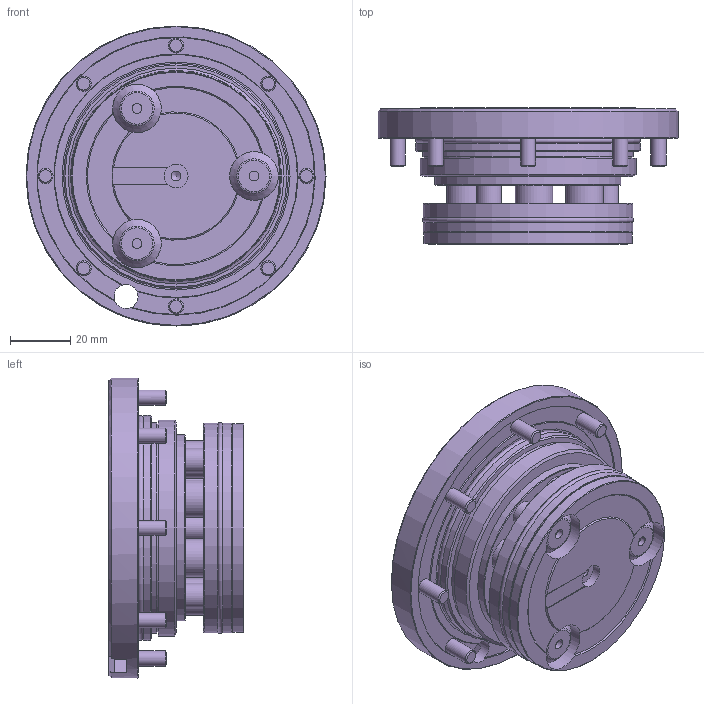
import cadquery as cq
import math


FLANGE_RADIUS = 50.0
FLANGE_BACK = 0.3
FLANGE_FRONT = 10.1
FLANGE_BACK_CHAMFER = 0.8
EDGE_BREAK = 0.2
BACK_PAD_RADIUS = 37.8
BAND_INNER_RADIUS = 40.5
BAND_OUTER_RADIUS = 46.4
BAND_DEPTH = 0.3
BAND_WALL_SLOPE = 0.2

COLLAR_RADIUS = 37.5
COLLAR_BACK = 11.8
COLLAR_FRONT = 14.6
COLLAR_CHAMFER = 0.5
COLLAR_RING_TUBE = 1.0
COLLAR_GROOVE_RADIUS = 36.0
COLLAR_GROOVE_OUTER_RADIUS = 38.0
COLLAR_GROOVE_FLOOR = 9.7
NECK_RADIUS = 35.1
NECK_FRONT = 16.3
RELIEF_RADIUS = 69.05 / 2
SHOULDER_RADIUS = 36.0
SHOULDER_BACK = 16.7
SHOULDER_FRONT = 22.8
SHOULDER_CHAMFER_LENGTH = 0.5
SHOULDER_CHAMFER_HEIGHT = 1.0
STEP_RADIUS = 31.0
STEP_FRONT = 25.7

DISC_RADIUS = 69.8 / 2
NOSE_RADIUS = 34.8
DISC_BACK = 31.8
DISC_FRONT = 45.3
RING_GROOVE_BACK = 36.5
RING_GROOVE_FRONT = 38.3
RING_GROOVE_RADIUS = 34.0
RING_TUBE = 0.8
RING_RADIUS = 35.2
SCORE_BACK = 41.2
SCORE_WIDTH = 0.4

RECESS_OUTER_RADIUS = 29.9
RECESS_INNER_RADIUS = 21.0
RECESS_DEPTH = 0.4
SLOT_WIDTH = 5.8
SLOT_DEPTH = 0.2

CENTRE_BORE_DIAMETER = 8.0
CENTRE_BORE_DEPTH = 3.0
PILOT_DIAMETER = 3.3
PILOT_DEPTH = 3.0
DRILL_POINT_ANGLE = 118.0

SCREW_COUNT = 3
SCREW_CIRCLE_RADIUS = 26.0
SCREW_BORE_DIAMETER = 16.2
SCREW_HEAD_DIAMETER = 11.5
SCREW_HEAD_DEPTH = 2.2
SCREW_HEAD_CHAMFER_LENGTH = 0.2
SCREW_HEAD_CHAMFER_WIDTH = 0.5
SOCKET_DEPTH = 2.0
SCREW_PILLAR_DIAMETER = 8.3

PILLAR_DIAMETER = 12.5
PILLAR_CIRCLE_RADIUS = 23.0
PILLAR_SPREAD = 25.0

PIN_COUNT = 8
PIN_CIRCLE_RADIUS = 43.5
PIN_DIAMETER = 5.0
PIN_END = 19.5
PIN_CHAMFER = 0.4

PORT_ANGLE = 270 - 180 / PIN_COUNT
PORT_DIAMETER = 8.0
RIM_SLOT_WIDTH = 11.4
RIM_SLOT_FRONT = 6.2
RIM_SLOT_FLARE_START = 2.1
RIM_SLOT_FLARE = 1.2

OVERLAP = 0.5


def revolve(profile):
    """Turn a (radius, depth) outline about the Y axis."""
    points = [(radius, -depth) for radius, depth in profile]
    return cq.Workplane("XY").polyline(points).close().revolve(360, (0, 0, 0), (0, 1, 0))


def disc(diameter, back, front, centre=(0.0, 0.0), chamfer=0.0):
    """Cylinder along Y between two depths, optionally chamfered at its front."""
    x, z = centre
    body = (
        cq.Workplane("XZ", origin=(x, -back, z))
        .circle(diameter / 2)
        .extrude(front - back)
    )
    if chamfer:
        body = body.faces("<Y").chamfer(chamfer)
    return body


def polar(radius, angle):
    """X and Z of a point at an angle measured from +X towards +Z."""
    turn = math.radians(angle)
    return (radius * math.cos(turn), radius * math.sin(turn))


def seal_ring(outer_radius, tube_radius, depth):
    """Round-section ring about the Y axis, with its seam on the inner side."""
    centre_radius = outer_radius - tube_radius
    section_plane = cq.Plane(origin=(centre_radius, -depth, 0), xDir=(-1, 0, 0), normal=(0, 0, 1))
    section = cq.Workplane(section_plane).circle(tube_radius)
    return section.revolve(360, (centre_radius, 0, 0), (centre_radius, 1, 0))


def make_flange_and_spigot():
    body = revolve([
        (0, 0),
        (BACK_PAD_RADIUS, 0),
        (BACK_PAD_RADIUS, FLANGE_BACK),
        (FLANGE_RADIUS - FLANGE_BACK_CHAMFER, FLANGE_BACK),
        (FLANGE_RADIUS, FLANGE_BACK + FLANGE_BACK_CHAMFER),
        (FLANGE_RADIUS, FLANGE_FRONT - EDGE_BREAK),
        (FLANGE_RADIUS - EDGE_BREAK, FLANGE_FRONT),
        (BAND_OUTER_RADIUS, FLANGE_FRONT),
        (BAND_OUTER_RADIUS - BAND_WALL_SLOPE, FLANGE_FRONT - BAND_DEPTH),
        (BAND_INNER_RADIUS + BAND_WALL_SLOPE, FLANGE_FRONT - BAND_DEPTH),
        (BAND_INNER_RADIUS, FLANGE_FRONT),
        (COLLAR_GROOVE_OUTER_RADIUS, FLANGE_FRONT),
        (COLLAR_GROOVE_OUTER_RADIUS, COLLAR_GROOVE_FLOOR),
        (COLLAR_GROOVE_RADIUS, COLLAR_GROOVE_FLOOR),
        (COLLAR_GROOVE_RADIUS, COLLAR_BACK),
        (COLLAR_RADIUS, COLLAR_BACK),
        (COLLAR_RADIUS, COLLAR_FRONT - COLLAR_CHAMFER),
        (COLLAR_RADIUS - COLLAR_CHAMFER, COLLAR_FRONT),
        (NECK_RADIUS, COLLAR_FRONT),
        (NECK_RADIUS, NECK_FRONT),
        (RELIEF_RADIUS, NECK_FRONT),
        (RELIEF_RADIUS, SHOULDER_BACK),
        (SHOULDER_RADIUS, SHOULDER_BACK),
        (SHOULDER_RADIUS, SHOULDER_FRONT - SHOULDER_CHAMFER_LENGTH),
        (SHOULDER_RADIUS - SHOULDER_CHAMFER_HEIGHT, SHOULDER_FRONT),
        (STEP_RADIUS, SHOULDER_FRONT),
        (STEP_RADIUS, STEP_FRONT - EDGE_BREAK),
        (STEP_RADIUS - EDGE_BREAK, STEP_FRONT),
        (0, STEP_FRONT),
    ])
    ring_depth = (COLLAR_GROOVE_FLOOR + COLLAR_BACK) / 2
    return body.union(seal_ring(COLLAR_RADIUS, COLLAR_RING_TUBE, ring_depth))


def make_front_disc():
    body = revolve([
        (0, DISC_BACK),
        (DISC_RADIUS - EDGE_BREAK, DISC_BACK),
        (DISC_RADIUS, DISC_BACK + EDGE_BREAK),
        (DISC_RADIUS, RING_GROOVE_BACK),
        (RING_GROOVE_RADIUS, RING_GROOVE_BACK),
        (RING_GROOVE_RADIUS, RING_GROOVE_FRONT),
        (DISC_RADIUS, RING_GROOVE_FRONT),
        (DISC_RADIUS, SCORE_BACK),
        (RELIEF_RADIUS, SCORE_BACK),
        (RELIEF_RADIUS, SCORE_BACK + SCORE_WIDTH),
        (NOSE_RADIUS, SCORE_BACK + SCORE_WIDTH),
        (NOSE_RADIUS, DISC_FRONT - EDGE_BREAK),
        (NOSE_RADIUS - EDGE_BREAK, DISC_FRONT),
        (RECESS_OUTER_RADIUS, DISC_FRONT),
        (RECESS_OUTER_RADIUS - RECESS_DEPTH, DISC_FRONT - RECESS_DEPTH),
        (RECESS_INNER_RADIUS + RECESS_DEPTH, DISC_FRONT - RECESS_DEPTH),
        (RECESS_INNER_RADIUS, DISC_FRONT),
        (0, DISC_FRONT),
    ])
    ring_depth = (RING_GROOVE_BACK + RING_GROOVE_FRONT) / 2
    body = body.union(seal_ring(RING_RADIUS, RING_TUBE, ring_depth))

    slot_length = RECESS_INNER_RADIUS + RECESS_DEPTH
    slot = cq.Workplane("XY").box(
        slot_length, SLOT_DEPTH, SLOT_WIDTH, centered=(False, False, True)
    ).translate((-slot_length, -DISC_FRONT, 0))
    return body.cut(slot)


def make_centre_hole():
    """Flat-bottomed bore with a smaller drilled hole in its floor."""
    floor = DISC_FRONT - CENTRE_BORE_DEPTH
    pilot_radius = PILOT_DIAMETER / 2
    point_length = pilot_radius / math.tan(math.radians(DRILL_POINT_ANGLE / 2))
    pilot_end = floor - PILOT_DEPTH
    return revolve([
        (0, DISC_FRONT),
        (CENTRE_BORE_DIAMETER / 2, DISC_FRONT),
        (CENTRE_BORE_DIAMETER / 2, floor),
        (pilot_radius, floor),
        (pilot_radius, pilot_end),
        (0, pilot_end - point_length),
    ])


def make_screw_clearance():
    """Bore left around a conical screw head, with the socket in the head."""
    bore_radius = SCREW_BORE_DIAMETER / 2
    head_radius = SCREW_HEAD_DIAMETER / 2
    socket_radius = PILOT_DIAMETER / 2
    head_top = DISC_FRONT - SCREW_HEAD_DEPTH
    cone_top = head_top - SCREW_HEAD_CHAMFER_LENGTH
    cone_base = cone_top - (bore_radius - head_radius)
    return revolve([
        (0, DISC_FRONT),
        (bore_radius, DISC_FRONT),
        (bore_radius, cone_base),
        (head_radius, cone_top),
        (head_radius - SCREW_HEAD_CHAMFER_WIDTH, head_top),
        (socket_radius, head_top),
        (socket_radius, head_top - SOCKET_DEPTH),
        (0, head_top - SOCKET_DEPTH),
    ])


def make_rim_slot():
    """Slot through the rim into the port, widening towards the back."""
    half = RIM_SLOT_WIDTH / 2
    mouth = half + RIM_SLOT_FLARE
    section = [
        (-half, -RIM_SLOT_FRONT),
        (half, -RIM_SLOT_FRONT),
        (half, -RIM_SLOT_FLARE_START),
        (mouth, 0),
        (-mouth, 0),
        (-half, -RIM_SLOT_FLARE_START),
    ]
    x, z = polar(PIN_CIRCLE_RADIUS, PORT_ANGLE)
    outward_x, outward_z = polar(1, PORT_ANGLE)
    plane = cq.Plane(
        origin=(x, 0, z),
        xDir=(outward_z, 0, -outward_x),
        normal=(outward_x, 0, outward_z),
    )
    length = FLANGE_RADIUS - PIN_CIRCLE_RADIUS + OVERLAP
    return cq.Workplane(plane).polyline(section).close().extrude(length)


def make_pillar(diameter, centre):
    """Pillar joining the spigot to the front disc, let into both."""
    return disc(diameter, STEP_FRONT - OVERLAP, DISC_BACK + OVERLAP, centre)


def join_front_disc(body):
    """Carry the front disc on the screw pillars and the pairs of plain pillars."""
    front_disc = make_front_disc().cut(make_centre_hole())
    screw_step = 360 / SCREW_COUNT
    for index in range(SCREW_COUNT):
        screw_angle = index * screw_step
        x, z = polar(SCREW_CIRCLE_RADIUS, screw_angle)
        front_disc = front_disc.cut(make_screw_clearance().translate((x, 0, z)))
        body = body.union(make_pillar(SCREW_PILLAR_DIAMETER, (x, z)))
        gap_angle = screw_angle + screw_step / 2
        for pillar_angle in (gap_angle - PILLAR_SPREAD, gap_angle + PILLAR_SPREAD):
            centre = polar(PILLAR_CIRCLE_RADIUS, pillar_angle)
            body = body.union(make_pillar(PILLAR_DIAMETER, centre))
    return body.union(front_disc)


def add_pins(body):
    pin_root = FLANGE_FRONT - BAND_DEPTH - OVERLAP
    for index in range(PIN_COUNT):
        centre = polar(PIN_CIRCLE_RADIUS, index * 360 / PIN_COUNT)
        body = body.union(disc(PIN_DIAMETER, pin_root, PIN_END, centre, PIN_CHAMFER))
    return body


def cut_port(body):
    port_centre = polar(PIN_CIRCLE_RADIUS, PORT_ANGLE)
    body = body.cut(disc(PORT_DIAMETER, 0, FLANGE_FRONT, port_centre))
    return body.cut(make_rim_slot())


result = make_flange_and_spigot()
result = join_front_disc(result)
result = add_pins(result)
result = cut_port(result)